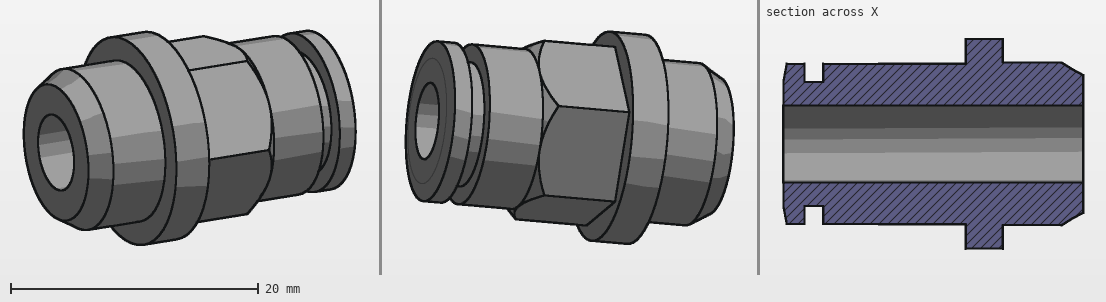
import cadquery as cq
import math

total_length = 24.25
bore_diameter = 6.2

spigot_diameter = 13.2
tip_diameter = 11.15
tip_length = 1.75
spigot_length = 6.5

flange_diameter = 17.0
flange_thickness = 3.0

across_flats = 13.0
hex_length = 7.0
hex_chamfer_angle = 45.0

groove_diameter = 10.1
groove_width = 1.5
collar_length = 1.72
collar_edge_length = 0.27
collar_end_diameter = 10.18

flange_end = spigot_length + flange_thickness
hex_end = flange_end + hex_length
collar_start = total_length - collar_length
groove_start = collar_start - groove_width
collar_edge_start = total_length - collar_edge_length
sleeve_radius = across_flats / 2
across_corners = across_flats / math.cos(math.radians(30))


def revolve_about_y(profile):
    """Revolve a closed (radius, y) outline about the Y axis."""
    return cq.Workplane("XY").polyline(profile).close().revolve(360, (0, 0, 0), (0, 1, 0))


def turned_body():
    return revolve_about_y([
        (0, 0),
        (tip_diameter / 2, 0),
        (spigot_diameter / 2, tip_length),
        (spigot_diameter / 2, spigot_length),
        (flange_diameter / 2, spigot_length),
        (flange_diameter / 2, flange_end),
        (sleeve_radius, flange_end),
        (sleeve_radius, groove_start),
        (groove_diameter / 2, groove_start),
        (groove_diameter / 2, collar_start),
        (sleeve_radius, collar_start),
        (sleeve_radius, collar_edge_start),
        (collar_end_diameter / 2, total_length),
        (0, total_length),
    ])


def chamfered_hexagon():
    prism = (
        cq.Workplane("XZ", origin=(0, flange_end, 0))
        .polygon(6, across_corners)
        .extrude(-hex_length)
    )
    cone_rise = (flange_diameter / 2 - sleeve_radius) * math.tan(math.radians(hex_chamfer_angle))
    envelope = revolve_about_y([
        (0, flange_end),
        (flange_diameter / 2, flange_end),
        (flange_diameter / 2, hex_end - cone_rise),
        (sleeve_radius, hex_end),
        (0, hex_end),
    ])
    return prism.intersect(envelope)


bore = cq.Workplane("XZ").circle(bore_diameter / 2).extrude(-total_length)
result = turned_body().union(chamfered_hexagon()).cut(bore)